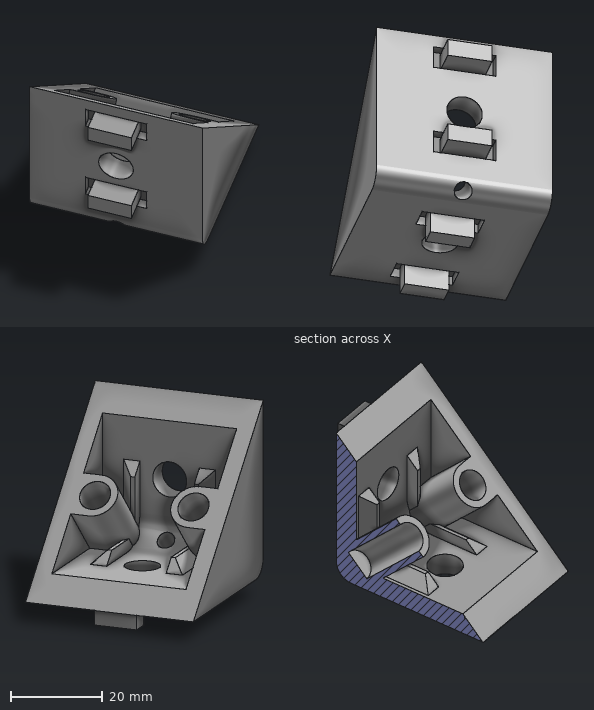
import cadquery as cq
import math

lug_height = 4.5
leg = 44.5 - lug_height
width = leg
corner_radius = 4.05

wall = 5.5
side_wall = 4.05
inner_radius = 7.05
cavity_width = width - 2 * side_wall

post_diameter = 10.4
post_hole_diameter = 7.08
post_offset = 11.7
post_hole_depth = 20.02

bolt_diameter = 8.0
bolt_position = 21.05
corner_hole_diameter = 4.0

lug_length = 10.05
lug_width = 4.1
lug_positions = (12.4, 34.4)
recess_length = 14.15
recess_width = 5.35
recess_shift = -0.1
recess_depth = 2.22

rib_inner = recess_length / 2
rib_outer = 10.95
rib_end = 24.48
rib_height = 2.9


def swap_flanges(shape):
    """Turn a symmetric shape about the Y = Z line, swapping its Y and Z."""
    return shape.rotate((0, 0, 0), (0, 1, 1), 180)


def on_both_flanges(shape):
    return shape.union(swap_flanges(shape))


def corner_prism(inset, radius, length):
    """Triangular prism along X, inset from both flanges, with a round corner."""
    far = leg - inset
    return (
        cq.Workplane("YZ")
        .polyline([(inset, inset), (far, inset), (inset, far)])
        .close()
        .extrude(length / 2, both=True)
        .edges(cq.selectors.NearestToPointSelector((0, inset, inset)))
        .fillet(radius)
    )


def box_on_floor(size_x, size_y, size_z, y, bottom):
    return cq.Workplane("XY", origin=(0, y, bottom)).box(
        size_x, size_y, size_z, centered=(True, True, False)
    )


def slope_plane(x):
    """Plane on the sloping face, centred between its ends, facing outward."""
    return cq.Plane(origin=(x, leg / 2, leg / 2), xDir=(1, 0, 0), normal=(0, 1, 1))


def post(side):
    """Round post joined to the side wall by a web of the same thickness."""
    web_length = width / 2 - post_offset
    round_post = cq.Workplane(slope_plane(side * post_offset)).circle(post_diameter / 2).extrude(-leg)
    web = (
        cq.Workplane(slope_plane(side * (post_offset + web_length / 2)))
        .rect(web_length, post_diameter)
        .extrude(-leg)
    )
    return round_post.union(web)


def floor_rib():
    """Rib with a sloping end and a sloping outer flank, on the right side."""
    top = wall + rib_height
    side_profile = (
        cq.Workplane("YZ", origin=(rib_inner, 0, 0))
        .polyline([(wall, wall), (rib_end, wall), (rib_end - rib_height, top), (wall, top)])
        .close()
        .extrude(rib_outer - rib_inner)
    )
    end_profile = (
        cq.Workplane("XZ")
        .polyline([(rib_inner, wall), (rib_outer, wall), (rib_outer - rib_height, top), (rib_inner, top)])
        .close()
        .extrude(-leg)
    )
    return side_profile.intersect(end_profile)


envelope = corner_prism(0, corner_radius, width)
body = envelope.cut(corner_prism(wall, inner_radius, cavity_width))

right_rib = floor_rib()
ribs = on_both_flanges(right_rib.union(right_rib.mirror("YZ")))
body = body.union(ribs)
for side in (-1, 1):
    body = body.union(post(side).intersect(envelope))
    post_hole = (
        cq.Workplane(slope_plane(side * post_offset))
        .circle(post_hole_diameter / 2)
        .extrude(-post_hole_depth)
    )
    body = body.cut(post_hole)

bolt_hole = cq.Workplane("XY", origin=(0, bolt_position, 0)).circle(bolt_diameter / 2).extrude(wall)
body = body.cut(on_both_flanges(bolt_hole))
corner_hole = (
    cq.Workplane(slope_plane(0)).circle(corner_hole_diameter / 2).extrude(-leg * math.sqrt(0.5))
)
body = body.cut(corner_hole)

for position in lug_positions:
    recess = box_on_floor(recess_length, recess_width, recess_depth, position + recess_shift, 0)
    body = body.cut(on_both_flanges(recess))
    lug = box_on_floor(lug_length, lug_width, lug_height + recess_depth, position, -lug_height)
    body = body.union(on_both_flanges(lug))

result = body